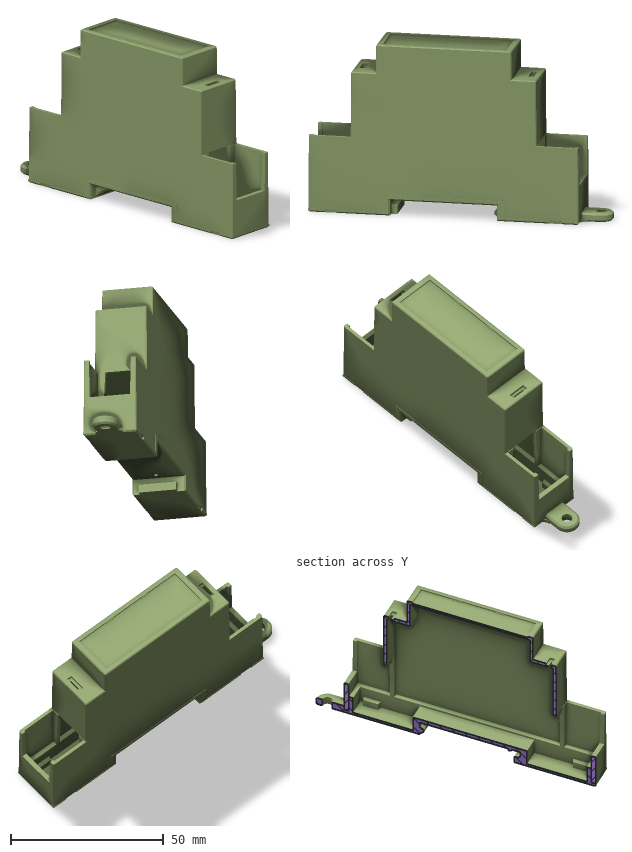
import cadquery as cq
import math

HALF_LENGTH = 45.1
HALF_WIDTH = 8.97
BASE_HALF_WIDTH = 9.07
TIERS = [
    (HALF_LENGTH, 25.9),
    (31.2, 48.0),
    (22.9, 57.5),
]
MID_HALF_LENGTH, MID_TOP = TIERS[1]
TOP_HALF_LENGTH, CASE_TOP = TIERS[2]
DRAFT = 0.4
EDGE_CHAMFER = 0.3

WALL = 1.5
CAVITY_HALF_LENGTH = 43.3
CAVITY_HALF_WIDTH = 7.36
BAY_DRAFT = 1.0
ROOF = 1.5

SILL_Z = 13.0
DOOR_TOP = 26.1
DOOR_HALF_BOTTOM, DOOR_HALF_TOP = 6.8, 7.1
DIVIDER_HALF_BOTTOM, DIVIDER_HALF_TOP = 5.8, 5.2

PLATE = 1.1
RIM = 1.5
RIM_TOP = 7.5
RAIL_HALF = 17.8
RAIL_Z = 5.2
RAIL_WALL_X = 2.6
RAIL_WALL_Z = 1.6
SEAT_HALF = RAIL_HALF + RAIL_WALL_X
SEAT_Z = RAIL_Z + RAIL_WALL_Z
BASE_CHAMFER = 0.5

PANEL_HALF_LENGTH = 20.5
PANEL_HALF_WIDTH = 6.96
PANEL_DEPTH = 0.5
NIB_X = 7.5
NIB_LENGTH = 3.3
NIB_REACH = 0.3

SLOT_OUTER_X = 29.1
SLOT_WIDTH, SLOT_LENGTH, SLOT_DEPTH = 1.8, 6.1, 0.8
SLIT_WIDTH, SLIT_LENGTH = 0.9, 4.1

TAB_RADIUS = 4.1
TAB_HEIGHT = 2.9
TAB_END = -55.1
TAB_CHAMFER = 0.6
TAB_HOLE = 3.5
FLARE_LENGTH, FLARE_RADIUS = 2.0, 2.5

HOOK_WIDTH = 12.6
CLAW_X, CLAW_TOP = 15.8, 2.76
CLAW_RAMP = 0.6
NUB_X, NUB_LOW, NUB_HIGH = -16.4, 0.5, 3.5
NUB_SLOPE = 1.1
PEG_X, PEG_DIAMETER, PEG_LENGTH = 14.2, 1.2, 0.7
NOTCH_X, NOTCH_LENGTH = 37.5, 4.1
LUG_LENGTH, LUG_REACH, LUG_HEIGHT, LUG_TAPER = 6.2, 1.5, 2.5, 0.5


def block(x0, x1, y0, y1, z0, z1):
    """Box between two opposite corners."""
    return cq.Workplane("XY").box(x1 - x0, y1 - y0, z1 - z0, centered=False).translate((x0, y0, z0))


def room(half_length, half_width, z0, z1):
    """Box centred on the Z axis."""
    return block(-half_length, half_length, -half_width, half_width, z0, z1)


def prism(points, half_width):
    """XZ outline extruded evenly to both sides of the XZ plane."""
    return cq.Workplane("XZ").polyline(points).close().extrude(half_width, both=True)


def wall_opening(x0, x1, half_bottom, half_top, top):
    """Opening in an end wall, its sides straight but leaning, from the sill up."""
    outline = [(-half_bottom, SILL_Z), (half_bottom, SILL_Z), (half_top, top), (-half_top, top)]
    return cq.Workplane("YZ").polyline(outline).close().extrude(x1 - x0).translate((x0, 0, 0))


def outer_shape():
    """Three drafted tiers stacked into the stepped outline of the case."""
    shape = None
    for half_length, top in TIERS:
        tier = cq.Workplane("XY").rect(2 * half_length, 2 * HALF_WIDTH).extrude(top, taper=DRAFT)
        tier = tier.edges("not(#Z or |X or |Y)").chamfer(EDGE_CHAMFER)
        if half_length < HALF_LENGTH:
            tier = tier.faces(">Z").edges().chamfer(EDGE_CHAMFER)
        shape = tier if shape is None else shape.union(tier)
    return shape


def make_housing():
    body = outer_shape()

    body = body.cut(room(HALF_LENGTH + 1, HALF_WIDTH + 1, -1, PLATE))
    body = body.cut(room(SEAT_HALF, HALF_WIDTH + 1, 0, SEAT_Z))

    inner_mid = MID_HALF_LENGTH - WALL
    body = body.cut(room(CAVITY_HALF_LENGTH, CAVITY_HALF_WIDTH, 0, RIM_TOP))
    body = body.cut(room(inner_mid, CAVITY_HALF_WIDTH, RIM_TOP, MID_TOP - ROOF))
    body = body.cut(room(TOP_HALF_LENGTH - WALL, CAVITY_HALF_WIDTH, RIM_TOP, CASE_TOP - ROOF))

    bays = cq.Workplane("XY", origin=(0, 0, RIM_TOP)).rect(2 * CAVITY_HALF_LENGTH, 2 * CAVITY_HALF_WIDTH)
    bays = bays.extrude(TIERS[0][1] - RIM_TOP, taper=-BAY_DRAFT)
    body = body.cut(bays.cut(room(MID_HALF_LENGTH, HALF_WIDTH, RIM_TOP, MID_TOP)))

    doors = wall_opening(CAVITY_HALF_LENGTH, HALF_LENGTH, DOOR_HALF_BOTTOM, DOOR_HALF_TOP, DOOR_TOP)
    gates = wall_opening(inner_mid, MID_HALF_LENGTH, DIVIDER_HALF_BOTTOM, DIVIDER_HALF_TOP, DOOR_TOP)
    for opening in (doors, gates):
        body = body.cut(opening).cut(opening.mirror("YZ"))
    foot = block(inner_mid, MID_HALF_LENGTH, -DIVIDER_HALF_BOTTOM, DIVIDER_HALF_BOTTOM, RIM_TOP, SILL_Z)
    body = body.cut(foot).cut(foot.mirror("YZ"))

    body = body.cut(room(PANEL_HALF_LENGTH, PANEL_HALF_WIDTH, CASE_TOP - ROOF, CASE_TOP))
    panel_top = CASE_TOP - PANEL_DEPTH
    for x in (-NIB_X, NIB_X):
        nib = block(x - NIB_LENGTH / 2, x + NIB_LENGTH / 2, PANEL_HALF_WIDTH - NIB_REACH,
                    PANEL_HALF_WIDTH, panel_top, CASE_TOP - EDGE_CHAMFER)
        body = body.union(nib).union(nib.mirror("XZ"))

    recess = block(SLOT_OUTER_X - SLOT_WIDTH, SLOT_OUTER_X, -SLOT_LENGTH / 2, SLOT_LENGTH / 2,
                   MID_TOP - SLOT_DEPTH, MID_TOP)
    slit = block(SLOT_OUTER_X - SLIT_WIDTH, SLOT_OUTER_X, -SLIT_LENGTH / 2, SLIT_LENGTH / 2,
                 MID_TOP - ROOF, MID_TOP)
    for cutter in (recess, slit):
        body = body.cut(cutter).cut(cutter.mirror("YZ"))
    return body


def make_base_plate():
    """Plate that steps up over the rail channel, its lower outline chamfered."""
    lower = [(-HALF_LENGTH, 0), (-RAIL_HALF, 0), (-RAIL_HALF, RAIL_Z),
             (RAIL_HALF, RAIL_Z), (RAIL_HALF, 0), (HALF_LENGTH, 0)]
    upper = [(HALF_LENGTH, PLATE), (SEAT_HALF, PLATE), (SEAT_HALF, SEAT_Z),
             (-SEAT_HALF, SEAT_Z), (-SEAT_HALF, PLATE), (-HALF_LENGTH, PLATE)]
    plate = prism(lower + upper, BASE_HALF_WIDTH)

    def on_lower_outline(edge):
        spot = edge.Center()
        outside = abs(spot.y) > BASE_HALF_WIDTH - 0.1 or abs(spot.x) > HALF_LENGTH - 0.1
        in_channel = abs(spot.x) < RAIL_HALF + 0.1 and spot.z < RAIL_Z + 0.1
        return outside and (spot.z < 0.1 or in_channel)

    return plate.edges().filter(on_lower_outline).chamfer(BASE_CHAMFER)


def make_rim():
    """Upright wall that stands inside the housing."""
    rim = room(CAVITY_HALF_LENGTH, CAVITY_HALF_WIDTH, PLATE, RIM_TOP)
    rim = rim.cut(room(CAVITY_HALF_LENGTH - RIM, CAVITY_HALF_WIDTH - RIM, PLATE, RIM_TOP))
    return rim.cut(room(SEAT_HALF, HALF_WIDTH, 0, SEAT_Z))


def make_tab():
    """Rounded pull tab with a hole, flared where it meets the plate."""
    centre = TAB_END + TAB_RADIUS
    tab = block(centre, -HALF_LENGTH, -TAB_RADIUS, TAB_RADIUS, 0, TAB_HEIGHT)
    tab = tab.union(cq.Workplane("XY").center(centre, 0).circle(TAB_RADIUS).extrude(TAB_HEIGHT))
    tab = tab.faces("|Z").edges("not >X").chamfer(TAB_CHAMFER)
    tab = tab.cut(cq.Workplane("XY").center(centre, 0).circle(TAB_HOLE / 2).extrude(TAB_HEIGHT))
    wide = TAB_RADIUS + FLARE_RADIUS - math.sqrt(FLARE_RADIUS**2 - FLARE_LENGTH**2)
    flare_x = -HALF_LENGTH - FLARE_LENGTH
    root = block(flare_x, -HALF_LENGTH + BASE_CHAMFER, -wide, wide, 0, PLATE)
    hollows = cq.Workplane("XY").pushPoints([(flare_x, side * (TAB_RADIUS + FLARE_RADIUS)) for side in (-1, 1)])
    root = root.cut(hollows.circle(FLARE_RADIUS).extrude(PLATE))
    return tab.union(root)


def make_base():
    body = make_base_plate().union(make_rim()).union(make_tab())

    claw = prism([(RAIL_HALF, 0), (CLAW_X, 0), (CLAW_X, CLAW_TOP), (RAIL_HALF - CLAW_RAMP, CLAW_TOP),
                  (RAIL_HALF, CLAW_TOP + CLAW_RAMP)], HOOK_WIDTH / 2)
    nub = prism([(-RAIL_HALF, NUB_LOW), (NUB_X, NUB_LOW + NUB_SLOPE), (NUB_X, NUB_HIGH - NUB_SLOPE),
                 (-RAIL_HALF, NUB_HIGH)], HOOK_WIDTH / 2)
    peg = cq.Workplane("XY", origin=(PEG_X, 0, RAIL_Z - PEG_LENGTH)).circle(PEG_DIAMETER / 2)
    body = body.union(claw).union(nub).union(peg.extrude(PEG_LENGTH))

    half_lug = LUG_LENGTH / 2
    rim_y = CAVITY_HALF_WIDTH - RIM
    for x in (-NOTCH_X, NOTCH_X):
        notch = block(x - NOTCH_LENGTH / 2, x + NOTCH_LENGTH / 2, BASE_HALF_WIDTH - BASE_CHAMFER,
                      BASE_HALF_WIDTH, 0, PLATE)
        body = body.cut(notch).cut(notch.mirror("XZ"))
        outline = [(x - half_lug, rim_y), (x - half_lug + LUG_TAPER, rim_y - LUG_REACH),
                   (x + half_lug - LUG_TAPER, rim_y - LUG_REACH), (x + half_lug, rim_y)]
        lug = cq.Workplane("XY", origin=(0, 0, PLATE)).polyline(outline).close().extrude(LUG_HEIGHT)
        body = body.union(lug).union(lug.mirror("XZ"))
    return body


def make_panel():
    return room(PANEL_HALF_LENGTH, PANEL_HALF_WIDTH, CASE_TOP - ROOF, CASE_TOP - PANEL_DEPTH)


housing = make_housing()
base = make_base()
panel = make_panel()
result = cq.Compound.makeCompound([housing.val(), base.val(), panel.val()])